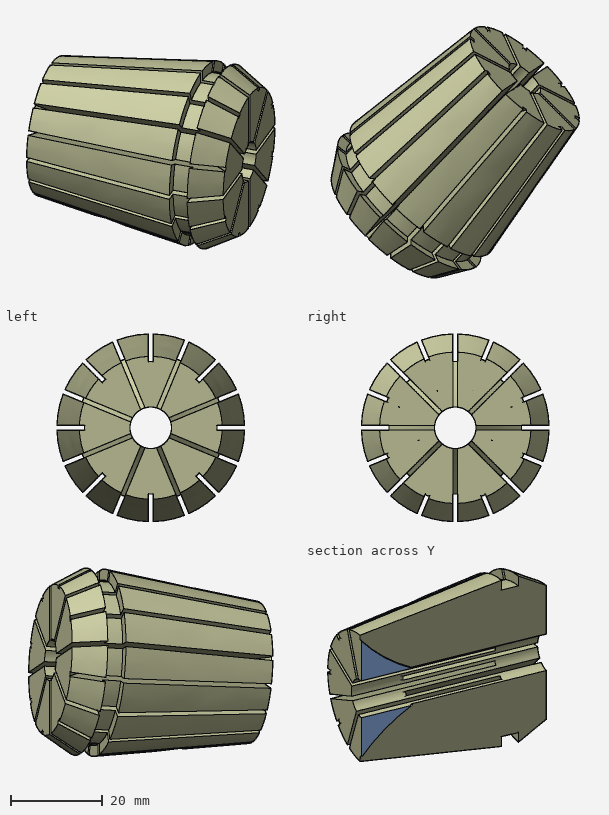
import cadquery as cq
import math

length = 46.0
max_diameter = 41.0
bore_diameter = 9.0
nose_taper = 8.0
tail_taper = 30.0
groove_start = 34.95
groove_width = 4.15
groove_diameter = 36.15

slot_width = 1.0
slots_per_end = 8
saw_radius = 40.0
nose_slot_floor = 16.0
nose_slot_rise = 10.65
tail_slot_floor = 14.5
tail_slot_rise = 12.75

max_radius = max_diameter / 2
bore_radius = bore_diameter / 2
groove_radius = groove_diameter / 2
groove_end = groove_start + groove_width
nose_radius = max_radius - groove_start * math.tan(math.radians(nose_taper))
tail_radius = max_radius - (length - groove_end) * math.tan(math.radians(tail_taper))
slot_pitch = 360 / slots_per_end
clearance = 0.45


def make_body():
    """Double cone with a clamping groove between the cones and a through bore."""
    half_section = [
        (0, bore_radius),
        (0, nose_radius),
        (groove_start, max_radius),
        (groove_start, groove_radius),
        (groove_end, groove_radius),
        (groove_end, max_radius),
        (length, tail_radius),
        (length, bore_radius),
    ]
    return cq.Workplane("XY").polyline(half_section).close().revolve(360, (0, 0, 0), (1, 0, 0))


def make_slot(floor_height, run_out_length):
    """Slot above the X axis, open at x = 0, with a concave saw run-out at the other end.

    The run-out arc climbs from the bore to floor_height at x = length.
    """
    arc_start = length - run_out_length
    climb = floor_height - bore_radius
    chord = math.hypot(run_out_length, climb)
    sagitta = saw_radius - math.sqrt(saw_radius**2 - (chord / 2) ** 2)
    arc_middle = (
        arc_start + run_out_length / 2 + sagitta * climb / chord,
        bore_radius + climb / 2 - sagitta * run_out_length / chord,
    )
    top = max_radius + clearance
    return (
        cq.Workplane("XZ")
        .moveTo(-clearance, 0)
        .lineTo(arc_start, 0)
        .lineTo(arc_start, bore_radius)
        .threePointArc(arc_middle, (length, floor_height))
        .lineTo(length + clearance, floor_height)
        .lineTo(length + clearance, top)
        .lineTo(-clearance, top)
        .close()
        .extrude(slot_width / 2, both=True)
    )


nose_slot = make_slot(nose_slot_floor, nose_slot_rise)
tail_slot = make_slot(tail_slot_floor, tail_slot_rise).mirror("YZ").translate((length, 0, 0))

result = make_body()
for i in range(slots_per_end):
    angle = i * slot_pitch
    result = result.cut(tail_slot.rotate((0, 0, 0), (1, 0, 0), angle))
    result = result.cut(nose_slot.rotate((0, 0, 0), (1, 0, 0), angle + slot_pitch / 2))